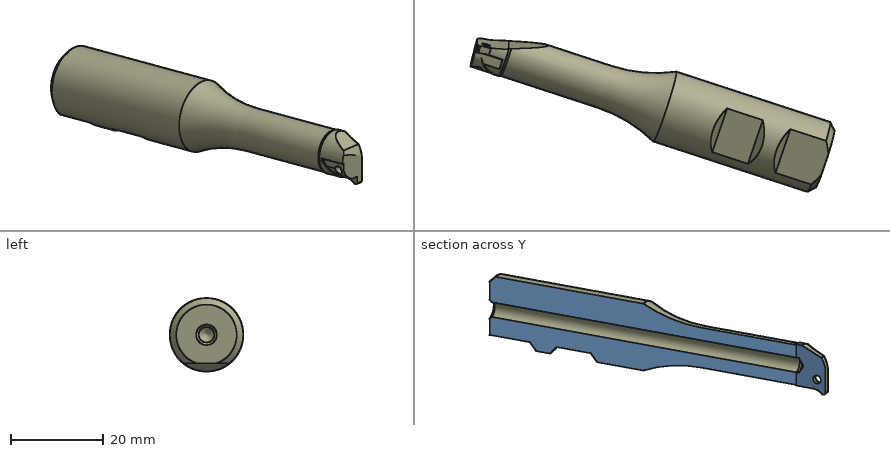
import cadquery as cq
import math

shank_radius = 8.0
end_chamfer = 1.4
shank_end = 36.6
neck_start = 50.4
neck_radius = 4.8
lip_length = 0.5
joint_x = 73.0

flat_z = -6.2
flat_slope_run = 1.5
front_flat_end = 9.6
rear_flat_start = 15.9
rear_flat_end = 24.1

bore_radius = 1.7
bore_mouth_radius = 2.2
bore_end = 73.6
drill_point_angle = 118.0
outlet_radius = 0.9
outlet_x = 77.9
outlet_z = -1.8
outlet_tilt = 9.0

total_length = 80.0
head_radius = 5.0
bevel_start = 74.3
bevel_end = 79.0
bevel_end_z = 2.8
nose_mid = (79.7, 1.4)
tip_z = -5.9
tip_corner = 0.4
tip_land = 0.4
flare_start = 76.8
face_lean = 0.6

relief_start = 65.0
relief_mid_y = 2.2
relief_knee = 78.3
relief_end_y = 1.2

pocket_start = 73.6
pocket_y = -4.6
pocket_flat_z = -1.6
rake_y = -0.4
rake_top_z = -4.2
wall_rise_ratio = 0.65
wall_depth_ratio = 0.6

margin = 4.0


def along_x(radius, start, end):
    return cq.Workplane("YZ", origin=(start, 0, 0)).circle(radius).extrude(end - start)


def extrude_y(profile):
    """Extrude an XZ profile symmetrically, wide enough for the whole part."""
    return profile.extrude(shank_radius + margin, both=True)


def make_revolved_bar():
    neck_drop = shank_radius - neck_radius
    neck_run = neck_start - shank_end
    blend_radius = (neck_run**2 + neck_drop**2) / (2 * neck_drop)
    half_angle = math.atan2(neck_drop, neck_run)
    blend_mid = (
        neck_start - blend_radius * math.sin(half_angle),
        neck_radius + blend_radius * (1 - math.cos(half_angle)),
    )
    return (
        cq.Workplane("XZ")
        .moveTo(0, 0)
        .lineTo(0, shank_radius - end_chamfer)
        .lineTo(end_chamfer, shank_radius)
        .lineTo(shank_end, shank_radius)
        .threePointArc(blend_mid, (neck_start, neck_radius))
        .lineTo(joint_x - lip_length, neck_radius)
        .lineTo(joint_x, head_radius)
        .lineTo(joint_x, 0)
        .close()
        .revolve(360, (0, 0, 0), (1, 0, 0))
    )


def make_front_flat():
    below = -shank_radius
    return extrude_y(
        cq.Workplane("XZ")
        .moveTo(-margin, below)
        .lineTo(-margin, flat_z)
        .lineTo(front_flat_end, flat_z)
        .lineTo(front_flat_end + flat_slope_run, below)
        .close()
    )


def make_rear_flat():
    below = -shank_radius
    return extrude_y(
        cq.Workplane("XZ")
        .moveTo(rear_flat_start - flat_slope_run, below)
        .lineTo(rear_flat_start, flat_z)
        .lineTo(rear_flat_end, flat_z)
        .lineTo(rear_flat_end + flat_slope_run, below)
        .close()
    )


def make_bore():
    """Coolant bore with a 45 degree countersunk mouth and a drill point in the head."""
    mouth_depth = bore_mouth_radius - bore_radius
    mouth = cq.Solid.makeCone(
        bore_mouth_radius, bore_radius, mouth_depth, cq.Vector(0, 0, 0), cq.Vector(1, 0, 0)
    )
    point_length = bore_radius / math.tan(math.radians(drill_point_angle / 2))
    point = cq.Solid.makeCone(
        bore_radius, 0, point_length, cq.Vector(bore_end, 0, 0), cq.Vector(1, 0, 0)
    )
    straight = along_x(bore_radius, 0, bore_end)
    return straight.union(cq.Workplane(mouth)).union(cq.Workplane(point))


def make_side_relief():
    """Sloping relief on +Y that curves to run parallel to the axis at the tip."""
    far_y = shank_radius + margin
    return (
        cq.Workplane("XY")
        .moveTo(relief_start, neck_radius)
        .lineTo(joint_x, relief_mid_y)
        .spline(
            [(relief_knee, relief_end_y)],
            tangents=[(joint_x - relief_start, relief_mid_y - neck_radius), (1, 0)],
            includeCurrent=True,
        )
        .lineTo(total_length + margin, relief_end_y)
        .lineTo(total_length + margin, far_y)
        .lineTo(relief_start, far_y)
        .close()
        .extrude(shank_radius + margin, both=True)
    )


def make_head_outline():
    """Side outline: sloping top, rounded nose and a flared cutting tip."""
    tip_end = total_length - tip_corner
    tip_start = tip_end - tip_land
    return extrude_y(
        cq.Workplane("XZ")
        .moveTo(joint_x, head_radius)
        .lineTo(bevel_start, head_radius)
        .lineTo(bevel_end, bevel_end_z)
        .threePointArc(nose_mid, (total_length, 0))
        .lineTo(total_length, tip_z + tip_corner)
        .lineTo(tip_end, tip_z)
        .lineTo(tip_start, tip_z)
        .spline([(flare_start, -head_radius)], tangents=[(-1, 1), (-1, 0)], includeCurrent=True)
        .lineTo(joint_x, -head_radius)
        .close()
    )


def make_tip_block():
    """Stock below the round head from which the flared tip is formed."""
    length = total_length - flare_start
    width = relief_end_y - rake_y
    return cq.Workplane("XY").box(length, width, -tip_z, centered=False).translate(
        (flare_start, rake_y, tip_z)
    )


def make_end_face_limit():
    """Plan outline whose end face leans back toward -Y."""
    return (
        cq.Workplane("XY")
        .moveTo(joint_x, shank_radius)
        .lineTo(total_length, shank_radius)
        .lineTo(total_length, relief_end_y)
        .lineTo(total_length - face_lean, -head_radius)
        .lineTo(joint_x, -head_radius)
        .close()
        .extrude(shank_radius, both=True)
    )


def make_chip_pocket():
    """Flat side that rolls under to the rake face, ended by a leaning wall."""
    roll_depth = rake_y - pocket_y
    roll_height = pocket_flat_z - rake_top_z
    diagonal = math.sqrt(0.5)
    roll_mid = (
        rake_y - roll_depth * diagonal,
        pocket_flat_z - roll_height * diagonal,
    )
    prism = (
        cq.Workplane("YZ", origin=(pocket_start, 0, 0))
        .moveTo(pocket_y, 0)
        .lineTo(pocket_y, pocket_flat_z)
        .threePointArc(roll_mid, (rake_y, rake_top_z))
        .lineTo(rake_y, -shank_radius)
        .lineTo(-shank_radius, -shank_radius)
        .lineTo(-shank_radius, 0)
        .close()
        .extrude(total_length + margin - pocket_start)
    )
    wall = cq.Plane(
        origin=(pocket_start, pocket_y, 0),
        xDir=(wall_depth_ratio, 1, 0),
        normal=(1, -wall_depth_ratio, wall_rise_ratio),
    )
    reach = 4 * shank_radius
    return prism.intersect(cq.Workplane(wall).rect(reach, reach).extrude(reach))


def make_rake_step():
    """Step below the chip pocket that exposes the cutting tip's rake face."""
    size = shank_radius
    return cq.Workplane("XY").box(size, size, size, centered=False).translate(
        (pocket_start, rake_y - size, rake_top_z - size)
    )


def make_outlet():
    """Coolant outlet crossing the head from the pocket, tilted downward."""
    tilt = math.radians(outlet_tilt)
    direction = cq.Vector(0, math.cos(tilt), -math.sin(tilt))
    start = cq.Vector(outlet_x, pocket_y, outlet_z) - direction * margin
    return cq.Workplane(cq.Solid.makeCylinder(outlet_radius, 2 * shank_radius, start, direction))


bore = make_bore()
side_relief = make_side_relief()

shank = make_revolved_bar().cut(make_front_flat()).cut(make_rear_flat()).cut(side_relief).cut(bore)

head = along_x(head_radius, joint_x, total_length).union(make_tip_block())
head = head.intersect(make_head_outline()).intersect(make_end_face_limit())
head = head.cut(side_relief).cut(make_chip_pocket()).cut(make_rake_step())
head = head.cut(bore).cut(make_outlet())

result = cq.Compound.makeCompound([shank.val(), *head.solids().vals()])